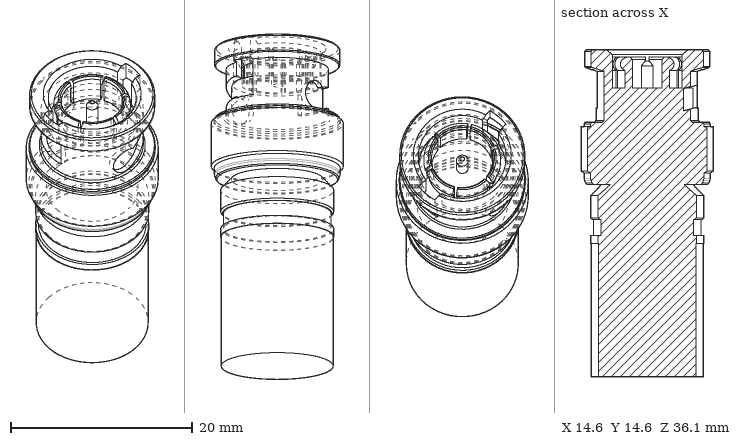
import cadquery as cq
import math

total_height = 36.1
body_radius = 5.03
shoulder_z = 31.9

sleeve_radius = 6.19
ring_radius = 6.25
groove_radius = 5.95
ring_bottom_z = 14.7
groove_bottom_z = 15.6
collar_bottom_z = 17.35
collar_top_z = 20.0
collar_chamfer = 0.2
cone_top_radius = 5.08

nut_radius = 7.3
nut_end_radius = 6.97
nut_bottom_z = 21.22
nut_bottom_radius = 6.66
nut_edge_z = 21.36
nut_edge_radius = 6.8
nut_shallow_taper_z = 21.67
nut_shallow_taper_radius = 6.92
nut_end_bottom_z = 21.87
nut_grip_bottom_z = 22.7
nut_grip_bevel_height = 0.23
nut_grip_top_z = 27.6
nut_top_z = 28.1
nut_top_bevel_width = 0.1
nut_top_bevel_height = 0.22

neck_radius = 5.65
neck_flare = 0.2
flange_radius = 6.92
flange_top_chamfer = 0.2
flange_underside_z = 33.7
flange_side_bottom_z = 34.23
flange_bottom_chamfer = 0.12
bore_radius = 4.85
bore_chamfer = 0.55

slot_width = 2.36
entry_outer_radius = 6.04
entry_floor_z = 29.65
detent_radius = 1.57
detent_z = 29.95
ramp_angle = 14.5
ramp_overrun = 0.5
cut_clearance = 1.0

finger_outer_radius = 3.9
finger_inner_radius = 3.4
finger_bulge_radius = 4.25
finger_bulge_z = 34.5
finger_top_z = 35.3
finger_top_radius = 3.75
finger_bulge_height = 0.7
finger_rim_bevel_width = 0.15
finger_rim_bevel_height = 0.3
slit_width = 0.4
slit_count = 6

pin_radius = 0.65
pin_tip_radius = 0.25
pin_cone_z = 34.3
pin_top_z = 34.85


def revolve_profile(sketch):
    """Close a half profile and turn it about the Z axis."""
    return sketch.close().revolve(360, (0, 0, 0), (0, 1, 0))


def cylinder(radius, bottom_z, top_z):
    return cq.Workplane("XY").workplane(offset=bottom_z).circle(radius).extrude(top_z - bottom_z)


def make_outer_body():
    """Solid turned outline of the sleeve, nut, neck and flange."""
    outline = [
        (0, 0),
        (sleeve_radius, 0),
        (sleeve_radius, ring_bottom_z),
        (ring_radius, ring_bottom_z),
        (ring_radius, groove_bottom_z),
        (groove_radius, groove_bottom_z),
        (groove_radius, collar_bottom_z),
        (ring_radius - collar_chamfer, collar_bottom_z),
        (ring_radius, collar_bottom_z + collar_chamfer),
        (ring_radius, collar_top_z),
        (cone_top_radius, nut_bottom_z),
        (nut_bottom_radius, nut_bottom_z),
        (nut_edge_radius, nut_edge_z),
        (nut_shallow_taper_radius, nut_shallow_taper_z),
        (nut_end_radius, nut_end_bottom_z),
        (nut_end_radius, nut_grip_bottom_z - nut_grip_bevel_height),
        (nut_radius, nut_grip_bottom_z),
        (nut_radius, nut_grip_top_z),
        (nut_end_radius, nut_grip_top_z),
        (nut_end_radius, nut_top_z - nut_top_bevel_height),
        (nut_end_radius - nut_top_bevel_width, nut_top_z),
        (neck_radius + neck_flare, nut_top_z),
        (neck_radius, nut_top_z + neck_flare),
        (neck_radius, flange_underside_z),
        (flange_radius - flange_bottom_chamfer, flange_side_bottom_z - flange_bottom_chamfer),
        (flange_radius, flange_side_bottom_z),
        (flange_radius, total_height - flange_top_chamfer),
        (flange_radius - flange_top_chamfer, total_height),
        (0, total_height),
    ]
    return revolve_profile(cq.Workplane("XZ").polyline(outline))


def make_socket():
    """Bore of the shell with its entry chamfer."""
    outline = [
        (0, shoulder_z),
        (bore_radius, shoulder_z),
        (bore_radius, total_height - bore_chamfer),
        (bore_radius + bore_chamfer, total_height),
        (0, total_height),
    ]
    return revolve_profile(cq.Workplane("XZ").polyline(outline))


def make_entry_slot():
    """Straight slot on the -Y side, open at the top of the shell."""
    slot = (
        cq.Workplane("XY")
        .workplane(offset=entry_floor_z)
        .center(0, -flange_radius / 2)
        .rect(slot_width, flange_radius)
        .extrude(total_height - entry_floor_z)
    )
    return slot.intersect(cylinder(entry_outer_radius, entry_floor_z, total_height))


def make_ramp():
    """Sloped track on the -X side from the entry slot to the round detent."""
    angle = math.radians(ramp_angle)
    along = (-math.cos(angle), math.sin(angle))
    across = (math.sin(angle), math.cos(angle))
    run = neck_radius + ramp_overrun

    def track_point(distance, offset):
        y = distance * along[0] + offset * across[0]
        z = detent_z + distance * along[1] + offset * across[1]
        return (y, z)

    lower = -detent_radius
    upper = slot_width - detent_radius
    corners = [
        track_point(0, lower),
        track_point(run, lower),
        track_point(run, upper),
        track_point(0, upper),
    ]
    cut_depth = neck_radius + cut_clearance
    track = cq.Workplane("YZ").polyline(corners).close().extrude(-cut_depth)
    detent = cq.Workplane("YZ").center(0, detent_z).circle(detent_radius).extrude(-cut_depth)
    return track.union(detent)


def make_bayonet_cut():
    """Both tracks, half a turn apart, kept outside the inner body."""
    one_track = make_entry_slot().union(make_ramp())
    both = one_track.union(one_track.rotate((0, 0, 0), (0, 0, 1), 180))
    return both.cut(cylinder(body_radius, 0, shoulder_z))


def make_fingers():
    """Slit contact ring with a bulged rim."""
    ring = revolve_profile(
        cq.Workplane("XZ")
        .moveTo(finger_inner_radius, shoulder_z)
        .lineTo(finger_outer_radius, shoulder_z)
        .lineTo(finger_outer_radius, finger_bulge_z - finger_bulge_height)
        .threePointArc((finger_bulge_radius, finger_bulge_z), (finger_top_radius, finger_top_z))
        .lineTo(finger_inner_radius + finger_rim_bevel_width, finger_top_z)
        .lineTo(finger_inner_radius, finger_top_z - finger_rim_bevel_height)
    )
    for index in range(slit_count // 2):
        slit = (
            cq.Workplane("XY")
            .workplane(offset=shoulder_z)
            .rect(2 * body_radius, slit_width)
            .extrude(finger_top_z - shoulder_z)
            .rotate((0, 0, 0), (0, 0, 1), index * 360 / slit_count)
        )
        ring = ring.cut(slit)
    return ring


def make_pin():
    """Centre contact with a tapered tip."""
    outline = [
        (0, shoulder_z),
        (pin_radius, shoulder_z),
        (pin_radius, pin_cone_z),
        (pin_tip_radius, pin_top_z),
        (0, pin_top_z),
    ]
    return revolve_profile(cq.Workplane("XZ").polyline(outline))


shell = make_outer_body().cut(make_socket()).cut(make_bayonet_cut())
result = shell.union(make_fingers()).union(make_pin())